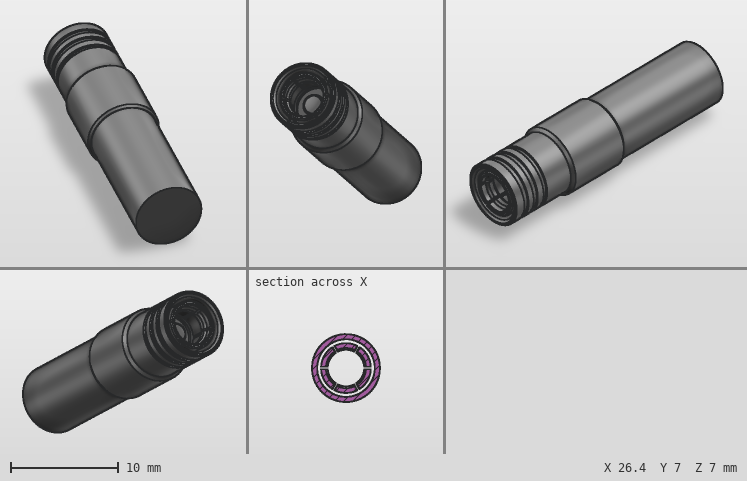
import cadquery as cq


TOTAL_LENGTH = 26.4

NOSE_RADIUS = 3.17
NOSE_CHAMFER = 0.1
GROOVE_RADIUS = 2.98
GROOVES = [(1.05, 1.6), (2.25, 2.8), (3.5, 3.99)]
COLLAR_DIAMETER = 7.0
COLLAR_RADIUS = COLLAR_DIAMETER / 2
COLLAR_FRONT_CHAMFER = COLLAR_RADIUS - NOSE_RADIUS
COLLAR_REAR_CHAMFER = 0.25
COLLAR_START = 7.0
COLLAR_END = 13.7

SOCKET_RADIUS = 2.67
SOCKET_LEAD_IN = 0.25
SOCKET_DEPTH = 3.7

SLEEVE_FRONT = 0.2
SLEEVE_RADIUS = 2.32
SLEEVE_OUTER_CHAMFER = 0.13
SLEEVE_MOUTH_RADIUS = 1.9
SLEEVE_MOUTH_CHAMFER = 0.1
LIP_RADIUS = 1.7
LIP_CONE_START = 0.9
LIP_START = 1.14
LIP_END = 1.65
SLEEVE_BORE_RADIUS = 2.0
INNER_FLOOR_DEPTH = 4.22
FLOOR_RECESS_RADIUS = 1.85
SLOT_COUNT = 6
SLOT_WIDTH = 0.2

CONTACT_RADIUS = 1.0
CONTACT_CHAMFER = 0.15
CONTACT_TIP = 3.17

FERRULE_RADIUS = 3.22


def revolve_profile(points):
    """Revolve an (x, radius) outline about the X axis."""
    return cq.Workplane("XY").polyline(points).close().revolve(360, (0, 0, 0), (1, 0, 0))


def ring(start, end, inner_radius, outer_radius):
    return revolve_profile([
        (start, inner_radius),
        (start, outer_radius),
        (end, outer_radius),
        (end, inner_radius),
    ])


def make_shell():
    """Nose and collar as one solid of revolution, with the nose grooves cut."""
    shell = revolve_profile([
        (0, 0),
        (0, NOSE_RADIUS - NOSE_CHAMFER),
        (NOSE_CHAMFER, NOSE_RADIUS),
        (COLLAR_START, NOSE_RADIUS),
        (COLLAR_START + COLLAR_FRONT_CHAMFER, COLLAR_RADIUS),
        (COLLAR_END - COLLAR_REAR_CHAMFER, COLLAR_RADIUS),
        (COLLAR_END, COLLAR_RADIUS - COLLAR_REAR_CHAMFER),
        (COLLAR_END, 0),
    ])
    for start, end in GROOVES:
        shell = shell.cut(ring(start, end, GROOVE_RADIUS, COLLAR_RADIUS))
    return shell


def make_socket():
    """Round cavity with a conical lead-in and a smaller inner floor."""
    floor_step = SLEEVE_BORE_RADIUS - FLOOR_RECESS_RADIUS
    return revolve_profile([
        (0, 0),
        (0, SOCKET_RADIUS + SOCKET_LEAD_IN),
        (SOCKET_LEAD_IN, SOCKET_RADIUS),
        (SOCKET_DEPTH, SOCKET_RADIUS),
        (SOCKET_DEPTH, SLEEVE_BORE_RADIUS),
        (SOCKET_DEPTH + floor_step, FLOOR_RECESS_RADIUS),
        (INNER_FLOOR_DEPTH, FLOOR_RECESS_RADIUS),
        (INNER_FLOOR_DEPTH, 0),
    ])


def make_sleeve():
    """Spring sleeve with an inner snap lip, split by slots over its full length."""
    lip_height = SLEEVE_BORE_RADIUS - LIP_RADIUS
    sleeve = revolve_profile([
        (SLEEVE_FRONT, SLEEVE_MOUTH_RADIUS + SLEEVE_MOUTH_CHAMFER),
        (SLEEVE_FRONT, SLEEVE_RADIUS - SLEEVE_OUTER_CHAMFER),
        (SLEEVE_FRONT + SLEEVE_OUTER_CHAMFER, SLEEVE_RADIUS),
        (SOCKET_DEPTH, SLEEVE_RADIUS),
        (SOCKET_DEPTH, SLEEVE_BORE_RADIUS),
        (LIP_END + lip_height, SLEEVE_BORE_RADIUS),
        (LIP_END, LIP_RADIUS),
        (LIP_START, LIP_RADIUS),
        (LIP_CONE_START, SLEEVE_MOUTH_RADIUS),
        (SLEEVE_FRONT + SLEEVE_MOUTH_CHAMFER, SLEEVE_MOUTH_RADIUS),
    ])
    slot = cq.Workplane("XY").box(
        SOCKET_DEPTH, SOCKET_RADIUS, SLOT_WIDTH, centered=(False, False, True)
    )
    for index in range(SLOT_COUNT):
        angle = index * 360 / SLOT_COUNT
        sleeve = sleeve.cut(slot.rotate((0, 0, 0), (1, 0, 0), angle))
    return sleeve


def make_contact():
    return revolve_profile([
        (CONTACT_TIP, 0),
        (CONTACT_TIP, CONTACT_RADIUS - CONTACT_CHAMFER),
        (CONTACT_TIP + CONTACT_CHAMFER, CONTACT_RADIUS),
        (INNER_FLOOR_DEPTH, CONTACT_RADIUS),
        (INNER_FLOOR_DEPTH, 0),
    ])


def make_connector():
    """Connector body: shell, spring sleeve and centre contact in one solid."""
    return make_shell().cut(make_socket()).union(make_sleeve()).union(make_contact())


def make_ferrule():
    """Plain cylinder butted against the rear face of the collar."""
    ferrule_length = TOTAL_LENGTH - COLLAR_END
    return (
        cq.Workplane("YZ")
        .workplane(offset=COLLAR_END)
        .circle(FERRULE_RADIUS)
        .extrude(ferrule_length)
    )


connector = make_connector()
ferrule = make_ferrule()

result = cq.Compound.makeCompound([connector.val(), ferrule.val()])